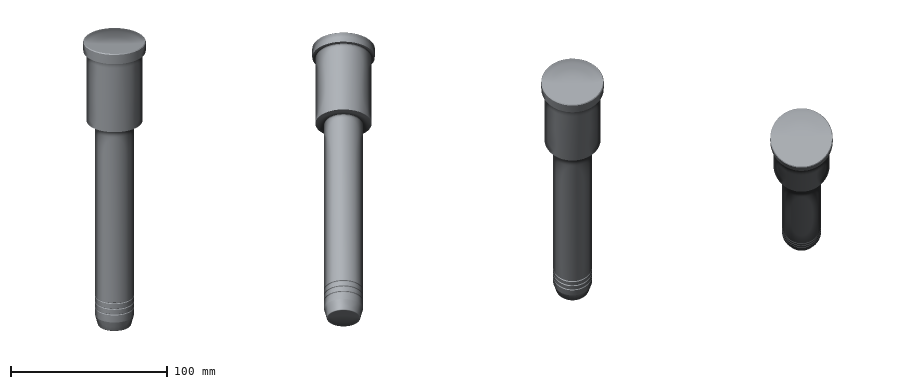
import cadquery as cq
import math

total_length = 200.0

head_diameter = 40.0
head_height = 7.0
head_chamfer = 0.5

shank_diameter = 36.0
shank_bottom_depth = 56.0

pillar_diameter = 25.0

groove_width = 1.0
groove_depth = 0.5
groove_wall_run = 0.3
cutter_clearance = 0.5

oil_groove_count = 3
oil_groove_pitch = 4.0
lowest_oil_groove_base = 12.0

lead_in_length = 7.0
lead_in_angle = 15.0
tip_radius = 0.5

head_base = total_length - head_height
shank_base = total_length - shank_bottom_depth
pillar_radius = pillar_diameter / 2
tip_face_radius = pillar_radius - lead_in_length * math.tan(math.radians(lead_in_angle))


def cylinder(diameter, base, top):
    """Solid cylinder on the Z axis between two levels."""
    return cq.Workplane("XY").workplane(offset=base).circle(diameter / 2).extrude(top - base)


def revolved(profile_points):
    """Solid of revolution about the Z axis from (radius, height) points."""
    profile = cq.Workplane("XZ").polyline(profile_points).close()
    return profile.revolve(360, (0, 0, 0), (0, 1, 0))


def ring_groove(diameter, base, width, lower_run=0.0, upper_run=0.0):
    """Cutter for a groove around a cylinder; each run is the height of a sloping wall."""
    surface_radius = diameter / 2
    floor_radius = surface_radius - groove_depth
    clear_radius = surface_radius + cutter_clearance
    top = base + width
    points = [(clear_radius, base)]
    if lower_run > 0:
        points.append((surface_radius, base))
    points.append((floor_radius, base + lower_run))
    points.append((floor_radius, top - upper_run))
    if upper_run > 0:
        points.append((surface_radius, top))
    points.append((clear_radius, top))
    return revolved(points)


def make_head():
    """Head disc with a chamfered top edge."""
    head = cylinder(head_diameter, head_base, total_length)
    return head.faces(">Z").edges().chamfer(head_chamfer)


def make_shank():
    """Shank with a relief groove directly under the head, sloping out at its lower side."""
    shank = cylinder(shank_diameter, shank_base, head_base)
    relief = ring_groove(
        shank_diameter, head_base - groove_width, groove_width, lower_run=groove_wall_run
    )
    return shank.cut(relief)


def make_lead_in():
    """Conical lead-in with its tip edge rounded."""
    lead_in = revolved(
        [
            (0, 0),
            (tip_face_radius, 0),
            (pillar_radius, lead_in_length),
            (0, lead_in_length),
        ]
    )
    return lead_in.faces("<Z").edges().fillet(tip_radius)


def make_pillar():
    """Pillar with a square relief groove under the shank and sloping-walled oil grooves."""
    pillar = cylinder(pillar_diameter, lead_in_length, shank_base)
    pillar = pillar.cut(ring_groove(pillar_diameter, shank_base - groove_width, groove_width))
    for index in range(oil_groove_count):
        base = lowest_oil_groove_base + index * oil_groove_pitch
        oil_groove = ring_groove(
            pillar_diameter, base, groove_width, lower_run=groove_wall_run, upper_run=groove_wall_run
        )
        pillar = pillar.cut(oil_groove)
    return pillar


result = make_head().union(make_shank()).union(make_pillar()).union(make_lead_in())